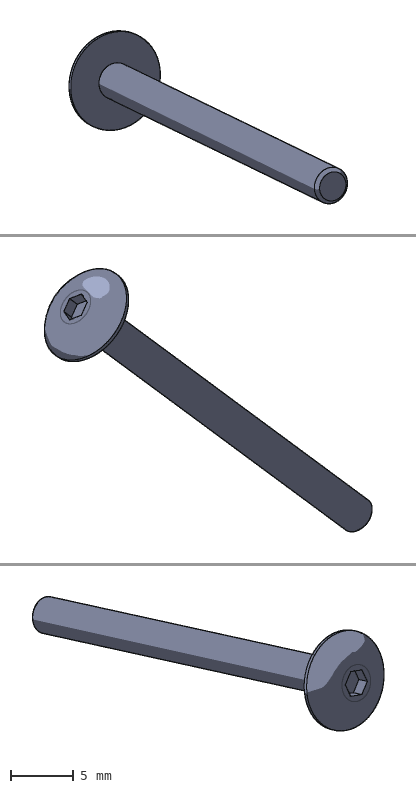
import cadquery as cq
import math

total_length = 38.65
head_diameter = 8.15
shank_diameter = 3.0

head_height = 1.65
rim_thickness = 0.3
crown_flat_diameter = 3.0

socket_across_flats = 2.0
socket_depth = 1.05

tip_chamfer = 0.3

head_radius = head_diameter / 2
shank_radius = shank_diameter / 2
crown_flat_radius = crown_flat_diameter / 2
head_face_x = -total_length / 2
seat_x = head_face_x + head_height
rim_x = seat_x - rim_thickness
tip_x = total_length / 2

dome_height = rim_x - head_face_x
dome_width = head_radius - crown_flat_radius
dome_arc_radius = (dome_width**2 + dome_height**2) / (2 * dome_height)
dome_half_angle = math.asin(dome_width / dome_arc_radius) / 2
dome_mid_x = head_face_x + dome_arc_radius * (1 - math.cos(dome_half_angle))
dome_mid_radius = crown_flat_radius + dome_arc_radius * math.sin(dome_half_angle)


def make_body():
    """Head and shank, revolved from half of their profile."""
    return (
        cq.Workplane("XY")
        .moveTo(head_face_x, 0)
        .lineTo(head_face_x, crown_flat_radius)
        .threePointArc((dome_mid_x, dome_mid_radius), (rim_x, head_radius))
        .lineTo(seat_x, head_radius)
        .lineTo(seat_x, shank_radius)
        .lineTo(tip_x - tip_chamfer, shank_radius)
        .lineTo(tip_x, shank_radius - tip_chamfer)
        .lineTo(tip_x, 0)
        .close()
        .revolve(360, (0, 0, 0), (1, 0, 0))
    )


def make_socket():
    """Hexagonal drive with two corners pointing along Y."""
    across_corners = socket_across_flats / math.cos(math.pi / 6)
    return (
        cq.Workplane("YZ", origin=(head_face_x, 0, 0))
        .polygon(6, across_corners)
        .extrude(socket_depth)
    )


result = make_body().cut(make_socket())